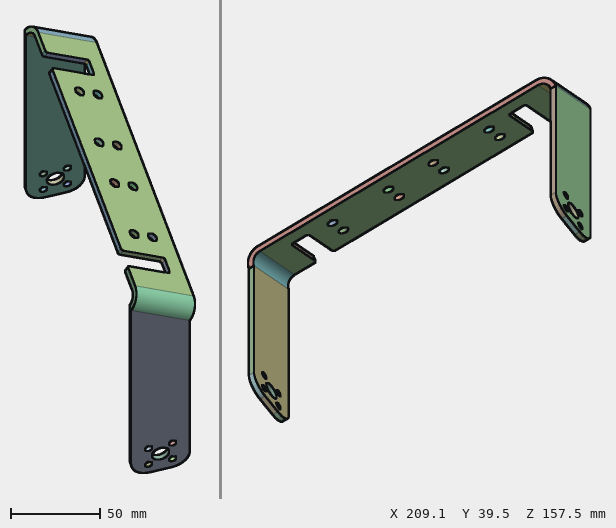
import cadquery as cq
import math

overall_width = 209.1
overall_height = 157.5
thickness = 3.5
bend_outer_radius = 9.8
leg_width = 34.3
web_tilt = 32.0

leg_corner_radius = 10.9
pivot_height = 14.5
pivot_diameter = 10.0
leg_screw_spacing = 14.0
leg_screw_diameter = 4.2

slot_width = 11.5
slot_offset = 74.0
slot_depth = 29.5
slot_corner_radius = 1.5
web_hole_diameter = 5.6
web_hole_row_spacing = 12.5
web_hole_offsets = (15.3, 53.3)

half_width = overall_width / 2
bend_inner_radius = bend_outer_radius - thickness
tilt = math.radians(web_tilt)
web_depth = leg_width / math.cos(tilt)
leg_rise = leg_width / 2 * math.tan(tilt)
bend_line_height = overall_height - leg_rise - bend_outer_radius * math.cos(tilt)


def make_web():
    """Level web with its two bends; the bend lines lie at Z = 0, Y is centred."""
    inner_half = half_width - thickness
    flat_half = half_width - bend_outer_radius
    underside = bend_outer_radius - thickness
    outer_mid = bend_outer_radius * math.sqrt(0.5)
    inner_mid = bend_inner_radius * math.sqrt(0.5)
    web = (
        cq.Workplane("XZ")
        .moveTo(-half_width, 0)
        .threePointArc((-flat_half - outer_mid, outer_mid), (-flat_half, bend_outer_radius))
        .lineTo(flat_half, bend_outer_radius)
        .threePointArc((flat_half + outer_mid, outer_mid), (half_width, 0))
        .lineTo(inner_half, 0)
        .threePointArc((flat_half + inner_mid, inner_mid), (flat_half, underside))
        .lineTo(-flat_half, underside)
        .threePointArc((-flat_half - inner_mid, inner_mid), (-inner_half, 0))
        .close()
        .extrude(web_depth / 2, both=True)
    )

    slots = (
        cq.Workplane("XY")
        .pushPoints([(side * slot_offset, (slot_depth - web_depth) / 2) for side in (-1, 1)])
        .rect(slot_width, slot_depth)
        .extrude(bend_outer_radius)
    )
    web = web.cut(slots)
    for side in (-1, 1):
        for edge_side in (-1, 1):
            corner_x = side * slot_offset + edge_side * slot_width / 2
            for corner_y in (-web_depth / 2, slot_depth - web_depth / 2):
                corner = cq.selectors.NearestToPointSelector(
                    (corner_x, corner_y, bend_outer_radius - thickness / 2)
                )
                web = web.edges("|Z").edges(corner).fillet(slot_corner_radius)

    hole_points = [
        (side * offset, row * web_hole_row_spacing / 2)
        for side in (-1, 1)
        for offset in web_hole_offsets
        for row in (-1, 1)
    ]
    holes = (
        cq.Workplane("XY")
        .pushPoints(hole_points)
        .circle(web_hole_diameter / 2)
        .extrude(bend_outer_radius)
    )
    return web.cut(holes)


def make_leg(outer_face_x, inward):
    """Upright leg whose sloping top edge meets the bend line of the tilted web."""
    leg = (
        cq.Workplane("YZ", origin=(outer_face_x, 0, 0))
        .moveTo(-leg_width / 2, 0)
        .lineTo(leg_width / 2, 0)
        .lineTo(leg_width / 2, bend_line_height - leg_rise)
        .lineTo(-leg_width / 2, bend_line_height + leg_rise)
        .close()
        .extrude(inward * thickness)
        .edges("|X and <Z")
        .fillet(leg_corner_radius)
    )
    holes = (
        cq.Workplane("YZ", origin=(outer_face_x, 0, pivot_height))
        .circle(pivot_diameter / 2)
        .rect(leg_screw_spacing, leg_screw_spacing, forConstruction=True)
        .vertices()
        .circle(leg_screw_diameter / 2)
        .extrude(inward * thickness)
    )
    return leg.cut(holes)


tilted_web = (
    make_web()
    .rotate((0, 0, 0), (1, 0, 0), -web_tilt)
    .translate((0, 0, bend_line_height))
)
left_leg = make_leg(-half_width, 1)
right_leg = make_leg(half_width, -1)
result = tilted_web.union(left_leg).union(right_leg)